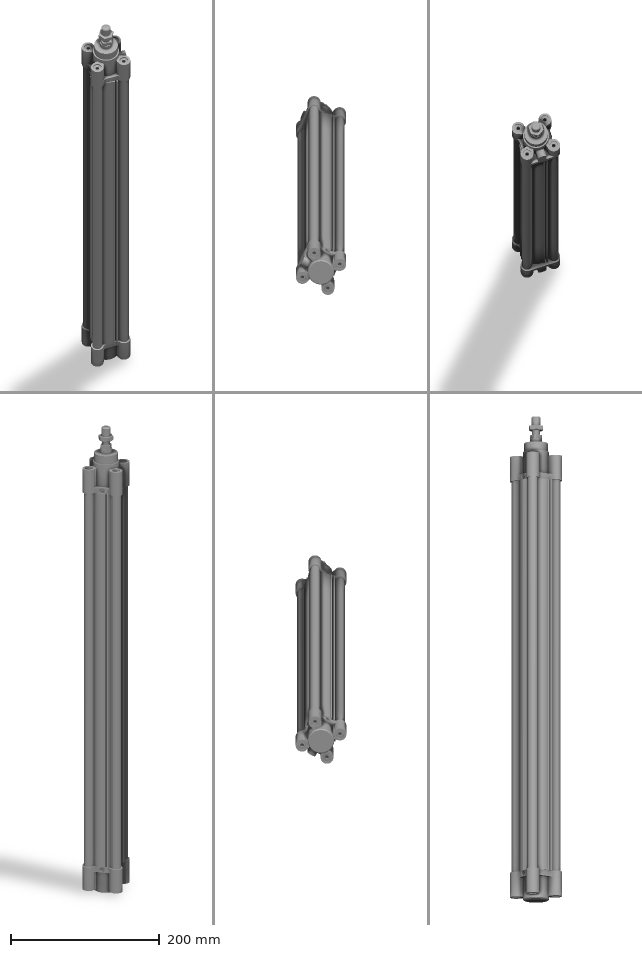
import cadquery as cq
import math

TOTAL_LENGTH = 663.0
REAR_SPIGOT = 4.5
CAP_LENGTH = 34.0
FRONT_CAP_FACE = 608.5
COLLAR_STEP = 614.5
COLLAR_TOP = 626.5
BARREL_BOTTOM = REAR_SPIGOT + CAP_LENGTH
BARREL_TOP = FRONT_CAP_FACE - CAP_LENGTH

CAP_WIDTH = 55.0
POST_SPACING = 38.0
POST_RADIUS = (CAP_WIDTH - POST_SPACING) / 2
POST_WEB_GAP = 18.5
FLANGE_WIDTH = 42.5
FLANGE_THICKNESS = 8.0
FLANGE_FILLET = 6.0
SPIGOT_DIAMETER = 35.0
SPIGOT_CHAMFER = 1.0
COLLAR_DIAMETER = 32.0
SCREW_RECESS_DIAMETER = 11.0
SCREW_RECESS_DEPTH = 2.0
THREAD_HOLE_DIAMETER = 4.9
THREAD_HOLE_DEPTH = 16.0
CUSHION_SCREW_DIAMETER = 7.0
CUSHION_SCREW_DEPTH = 2.0
PORT_BOSS_WIDTH = 12.0
PORT_BOSS_HEIGHT = 28.0

TUBE_RADIUS = 22.5
BARREL_WIDTH = 51.0
LOBE_RADIUS = 6.5
LOBE_CENTRE = BARREL_WIDTH / 2 - LOBE_RADIUS
TUBE_ARC_END = 12.0
LOBE_START = 16.0
RAIL_OFFSET = 6.0
RAIL_WIDTH = 6.0
RAIL_TOP = 24.0
SENSOR_SLOT_WIDTH = 2.5
SENSOR_SLOT_DEPTH = 5.0

ROD_DIAMETER = 16.0
ROD_SHOULDER = 638.0
ROD_FLATS_WIDTH = 13.0
ROD_FLATS_BOTTOM = 632.5
THREAD_DIAMETER = 12.0
THREAD_CHAMFER = 1.0
UNDERCUT_DIAMETER = 10.5
NUT_ACROSS_FLATS = 18.0
NUT_BOTTOM = 644.5
NUT_THICKNESS = 6.0
NUT_CHAMFER = 1.0

QUARTER_TURNS = [0, 90, 180, 270]


def disc(diameter, bottom, top):
    return cq.Workplane().workplane(offset=bottom).circle(diameter / 2).extrude(top - bottom)


def turn(body, angle):
    """Rotate a body about the main axis."""
    return body.rotate((0, 0, 0), (0, 0, 1), angle)


def post_centres(height):
    face = cq.Workplane().workplane(offset=height)
    return face.rect(POST_SPACING, POST_SPACING, forConstruction=True).vertices()


def make_flange():
    """Flange plate that runs into the feet of the four posts."""
    flange = cq.Workplane().rect(FLANGE_WIDTH, FLANGE_WIDTH).extrude(FLANGE_THICKNESS)
    flange = flange.union(post_centres(0).circle(POST_RADIUS).extrude(FLANGE_THICKNESS))
    reach = POST_SPACING / 2
    side = FLANGE_WIDTH / 2
    margin = 0.5
    side_edges = cq.selectors.BoxSelector(
        (-reach, -side - margin, 0), (reach, -side + margin, FLANGE_THICKNESS))
    for _ in QUARTER_TURNS:
        flange = turn(flange.edges("|Z").edges(side_edges).fillet(FLANGE_FILLET), 90)
    return flange


def make_port_side():
    """Flat +Y side of the flange with a round-topped port boss on it."""
    half_width = CAP_WIDTH / 2
    plate = cq.Workplane().rect(POST_SPACING, half_width).extrude(FLANGE_THICKNESS)
    boss_radius = PORT_BOSS_WIDTH / 2
    axis_height = PORT_BOSS_HEIGHT - boss_radius
    boss = cq.Workplane().rect(PORT_BOSS_WIDTH, half_width).extrude(axis_height)
    crown = (cq.Workplane("XZ", origin=(0, half_width / 2, axis_height))
             .circle(boss_radius).extrude(half_width))
    return plate.union(boss).union(crown).translate((0, half_width / 2, 0))


def make_cap():
    """End cap with its flange on Z = 0 and its mounting face at Z = CAP_LENGTH."""
    cap = make_flange().union(disc(SPIGOT_DIAMETER, 0, CAP_LENGTH))
    cap = cap.union(post_centres(0).circle(POST_RADIUS).extrude(CAP_LENGTH))
    web_length = (POST_SPACING - POST_WEB_GAP) / 2
    web_centre = (POST_SPACING + POST_WEB_GAP) / 2
    webs = cq.Workplane().rect(web_centre, web_centre, forConstruction=True).vertices()
    cap = cap.union(webs.rect(web_length, web_length).extrude(CAP_LENGTH))
    cap = cap.union(make_port_side())
    return cut_cushion_screws(cut_post_screws(cap))


def cut_post_screws(cap):
    """Sink a shallow screw seat and a threaded hole into the end of each post."""
    centres = post_centres(CAP_LENGTH)
    cap = cap.cut(centres.circle(SCREW_RECESS_DIAMETER / 2).extrude(-SCREW_RECESS_DEPTH))
    return cap.cut(centres.circle(THREAD_HOLE_DIAMETER / 2).extrude(-THREAD_HOLE_DEPTH))


def cut_cushion_screws(cap):
    """Cut a round recess into the -Y and -X flange sides."""
    recess = (cq.Workplane("XZ", origin=(0, -FLANGE_WIDTH / 2, FLANGE_THICKNESS / 2))
              .circle(CUSHION_SCREW_DIAMETER / 2).extrude(-CUSHION_SCREW_DEPTH))
    for angle in (0, -90):
        cap = cap.cut(turn(recess, angle))
    return cap


def barrel_outline():
    """Closed profile: round tube walls joined by stepped, bevelled flanks to four round corner lobes."""
    tube_edge = math.sqrt(TUBE_RADIUS**2 - TUBE_ARC_END**2)
    lobe_edge = LOBE_CENTRE + math.sqrt(LOBE_RADIUS**2 - (LOBE_CENTRE - LOBE_START)**2)
    bevel_edge = lobe_edge - (LOBE_START - TUBE_ARC_END)
    lobe_tip = LOBE_CENTRE + LOBE_RADIUS / math.sqrt(2)
    outline = cq.Workplane().workplane(offset=BARREL_BOTTOM).moveTo(-TUBE_ARC_END, -tube_edge)
    for angle in QUARTER_TURNS:
        cosine = math.cos(math.radians(angle))
        sine = math.sin(math.radians(angle))

        def turned(x, y):
            return (x * cosine - y * sine, x * sine + y * cosine)

        outline = outline.threePointArc(turned(0, -TUBE_RADIUS), turned(TUBE_ARC_END, -tube_edge))
        outline = outline.lineTo(*turned(TUBE_ARC_END, -bevel_edge))
        outline = outline.lineTo(*turned(LOBE_START, -lobe_edge))
        outline = outline.threePointArc(turned(lobe_tip, -lobe_tip), turned(lobe_edge, -LOBE_START))
        outline = outline.lineTo(*turned(bevel_edge, -TUBE_ARC_END))
        outline = outline.lineTo(*turned(tube_edge, -TUBE_ARC_END))
    return outline.close()


def make_barrel():
    """Barrel with one slotted sensor rail along each side."""
    length = BARREL_TOP - BARREL_BOTTOM
    base = cq.Workplane().workplane(offset=BARREL_BOTTOM)
    barrel = barrel_outline().extrude(length)
    rail = base.center(RAIL_OFFSET, -RAIL_TOP / 2).rect(RAIL_WIDTH, RAIL_TOP).extrude(length)
    slot_middle = -RAIL_TOP + SENSOR_SLOT_DEPTH / 2
    slot = base.center(RAIL_OFFSET, slot_middle).rect(SENSOR_SLOT_WIDTH, SENSOR_SLOT_DEPTH).extrude(length)
    for angle in QUARTER_TURNS:
        barrel = barrel.union(turn(rail, angle))
    for angle in QUARTER_TURNS:
        barrel = barrel.cut(turn(slot, angle))
    return barrel


def make_housing():
    cap = make_cap()
    housing = make_barrel().union(cap.translate((0, 0, BARREL_TOP)))
    rear_cap = cap.mirror("XY").translate((0, 0, BARREL_BOTTOM))
    rear_spigot = disc(SPIGOT_DIAMETER, 0, BARREL_BOTTOM).faces("<Z").chamfer(SPIGOT_CHAMFER)
    housing = housing.union(rear_cap).union(rear_spigot)
    housing = housing.union(disc(SPIGOT_DIAMETER, FRONT_CAP_FACE, COLLAR_STEP))
    collar = disc(COLLAR_DIAMETER, COLLAR_STEP, COLLAR_TOP)
    return housing.union(collar).cut(disc(ROD_DIAMETER, BARREL_TOP, COLLAR_TOP))


def make_rod():
    """Rod with wrench flats, an undercut and a threaded tip."""
    rod = disc(ROD_DIAMETER, BARREL_TOP, ROD_SHOULDER)
    flats = (cq.Workplane().workplane(offset=ROD_FLATS_BOTTOM)
             .rect(2 * ROD_DIAMETER, 2 * ROD_DIAMETER).rect(ROD_FLATS_WIDTH, ROD_FLATS_WIDTH)
             .extrude(ROD_SHOULDER - ROD_FLATS_BOTTOM))
    thread = disc(THREAD_DIAMETER, NUT_BOTTOM, TOTAL_LENGTH).faces(">Z").chamfer(THREAD_CHAMFER)
    return rod.cut(flats).union(disc(UNDERCUT_DIAMETER, ROD_SHOULDER, NUT_BOTTOM)).union(thread)


def make_nut():
    """Hexagon nut with corners toward +Y and -Y."""
    across_corners = NUT_ACROSS_FLATS / math.cos(math.pi / 6)
    nut = cq.Workplane().polygon(6, across_corners).extrude(NUT_THICKNESS)
    nut = turn(nut, 90)
    envelope = disc(across_corners, 0, NUT_THICKNESS).faces("<Z").chamfer(NUT_CHAMFER)
    nut = nut.intersect(envelope).cut(disc(THREAD_DIAMETER, 0, NUT_THICKNESS))
    return nut.translate((0, 0, NUT_BOTTOM))


housing = make_housing()
rod = make_rod()
nut = make_nut()

result = cq.Compound.makeCompound([housing.solids().val(), rod.solids().val(), nut.solids().val()])